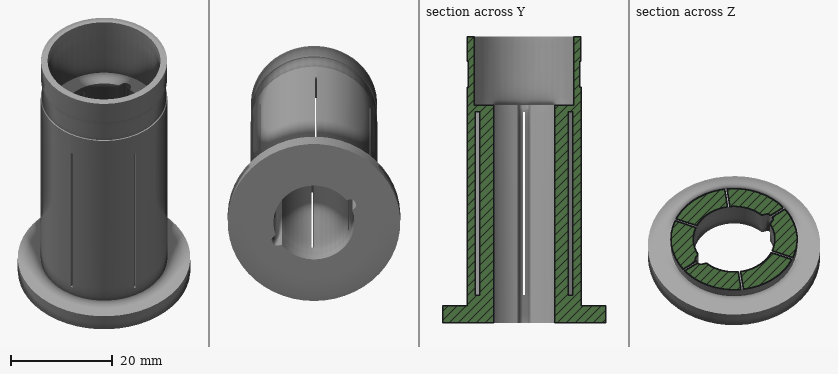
import cadquery as cq
import math

total_height = 56.5
flange_diameter = 34.0
flange_height = 3.5
body_diameter = 25.0

band_height = 5.0
rim_diameter = 24.85
groove_diameter = 24.5

socket_diameter = 22.25
socket_depth = 13.55
hole_diameter = 16.0
notch_reach = 9.2
notch_mouth_width = 2.6
notch_tip_width = 1.6
notch_tip_radius = 0.7

slot_count = 6
slot_width = 0.4
slot_height = 36.05
slot_top = total_height - 3 * band_height

rim_bottom = total_height - band_height
groove_bottom = rim_bottom - band_height
socket_floor = total_height - socket_depth


def cylinder(diameter, bottom, top):
    """Solid cylinder on the Z axis between two heights."""
    return cq.Workplane("XY").workplane(offset=bottom).circle(diameter / 2).extrude(top - bottom)


def notch():
    """Tapered notch on +Y with a rounded tip, its straight sides starting at the hole's edge."""
    half_mouth = notch_mouth_width / 2
    half_tip = notch_tip_width / 2
    mouth_y = math.sqrt((hole_diameter / 2) ** 2 - half_mouth**2)
    outline = [(-half_mouth, mouth_y), (-half_tip, notch_reach), (half_tip, notch_reach), (half_mouth, mouth_y)]
    return (
        cq.Workplane("XY")
        .polyline(outline)
        .close()
        .extrude(total_height)
        .edges("|Z and >Y")
        .fillet(notch_tip_radius)
    )


def notched_hole():
    """Through hole with two opposite notches along Y."""
    opposite_notch = notch().rotate((0, 0, 0), (0, 0, 1), 180)
    return cylinder(hole_diameter, 0, total_height).union(notch()).union(opposite_notch)


def wall_slot(angle):
    """Cutter for one slot, reaching from the axis out through the wall."""
    return (
        cq.Workplane("XY")
        .box(body_diameter, slot_width, slot_height, centered=(False, True, False))
        .translate((0, 0, slot_top - slot_height))
        .rotate((0, 0, 0), (0, 0, 1), angle)
    )


sleeve = (
    cylinder(flange_diameter, 0, flange_height)
    .union(cylinder(body_diameter, flange_height, groove_bottom))
    .union(cylinder(groove_diameter, groove_bottom, rim_bottom))
    .union(cylinder(rim_diameter, rim_bottom, total_height))
)

sleeve = sleeve.cut(cylinder(socket_diameter, socket_floor, total_height)).cut(notched_hole())

for index in range(slot_count):
    sleeve = sleeve.cut(wall_slot(90 + index * 360 / slot_count))

result = sleeve